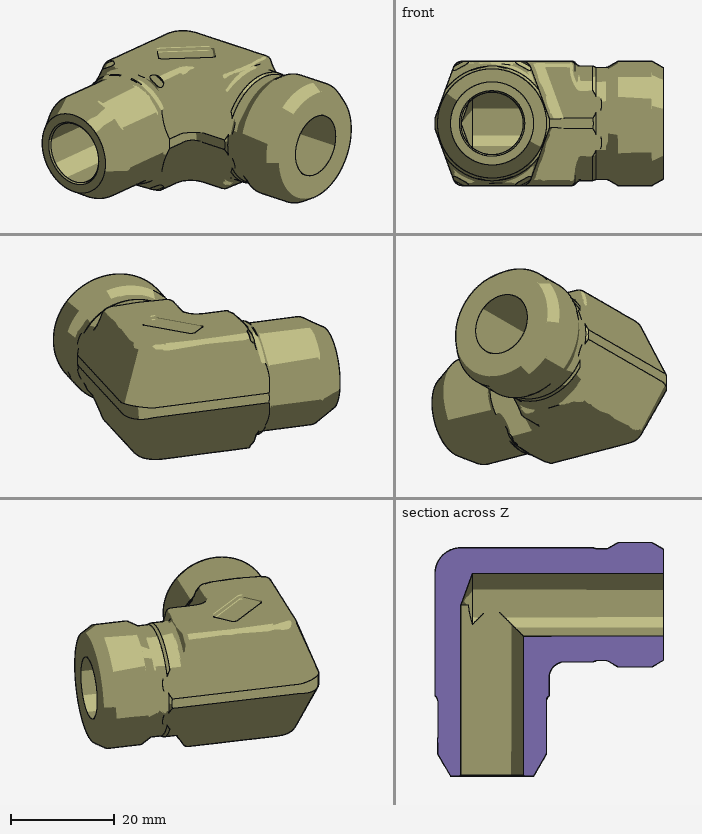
import cadquery as cq
import math

body_half_height = 12.0
ridge_half_width = 11.0
ridge_half_height = 1.0
draft_angle = 20.0
outer_corner_radius = 5.0
inner_corner_radius = 3.0
top_edge_radius = 2.0
rough_leg_length = 40.0

step_position = 16.0
step_radius = 1.0
collar_radius = 11.05
trim_radius = 20.0

x_end = 33.0
x_leg_end = 20.5
x_collar_end = 19.35
neck_start = 20.0
neck_radius = 10.8
neck_fillet = 0.8
head_radius = 12.0
head_start = 24.25
head_end = 30.75
head_edge_radius = 0.2
scallop_radius = 1.5

pipe_end = 33.0
pipe_radius = 10.5
pipe_face_radius = 8.0
pipe_edge_radius = 1.0
y_collar_end = 17.5
collar_edge_radius = 0.35
pipe_root_radius = 1.0
corner_bevel_start = 14.95
corner_bevel_end = 16.4
corner_bevel_radius = 13.15
corner_bevel_angle = 37.5

end_taper_angle = 30.0

bore_radius = 6.0
bore_chamfer = 0.3
drill_tip_angle = 140.0
x_bore_overrun = 5.95

panel_center = (2.65, -2.65)
panel_angle = 45.0
panel_length = 11.65
panel_width = 5.75
panel_corner_radius = 1.2
panel_depth = 0.8
panel_edge_radius = 0.38

draft_slope = math.tan(math.radians(draft_angle))
top_half_width = ridge_half_width - (body_half_height - ridge_half_height) * draft_slope
bottom_half_width = ridge_half_width + (body_half_height + ridge_half_height) * draft_slope
end_taper = math.tan(math.radians(end_taper_angle))
pipe_start = y_collar_end + collar_radius - pipe_radius
bevel_slope = math.sqrt(0.5)
collar_edge_tangent = collar_edge_radius * math.tan(math.radians(22.5))
pipe_root_tangent = pipe_root_radius * math.tan(math.radians(22.5))
y_leg_end = pipe_start + pipe_root_tangent
drill_tip_length = bore_radius / math.tan(math.radians(drill_tip_angle / 2))


def y_leg_to_x(shape):
    """Turn a shape about Z so that its -Y leg points along +X."""
    return shape.rotate((0, 0, 0), (0, 0, 1), 90)


def x_leg_to_y(shape):
    """Turn a shape about Z so that its +X leg points along -Y."""
    return shape.rotate((0, 0, 0), (0, 0, 1), -90)


def revolve_about_x(profile):
    return profile.close().revolve(360, (0, 0, 0), (1, 0, 0))


def plane_edges(shape, position):
    """Edges lying in the plane X = position."""
    gap = 0.01
    far = 2 * rough_leg_length
    slab = cq.selectors.BoxSelector((position - gap, -far, -far), (position + gap, far, far), True)
    return shape.edges(slab)


def elbow_outline(half_width):
    """Corner points of the L-shaped section with legs of the given half width."""
    return [
        (-half_width, half_width),
        (rough_leg_length, half_width),
        (rough_leg_length, -half_width),
        (half_width, -half_width),
        (half_width, -rough_leg_length),
        (-half_width, -rough_leg_length),
    ]


def round_corners(elbow):
    """Round the outer and inner corner edges of an L-shaped block, upright or drafted."""
    half_reach = 2 * ridge_half_width
    for side, radius in ((-1, outer_corner_radius), (1, inner_corner_radius)):
        near, far = sorted((0, side * half_reach))
        box = cq.selectors.BoxSelector(
            (near, -far, -body_half_height), (far, -near, body_half_height)
        )
        elbow = elbow.edges(box).edges("not #Z").fillet(radius)
    return elbow


def upright_elbow():
    """L-shaped block with vertical walls that form the ridges."""
    block = (
        cq.Workplane("XY").polyline(elbow_outline(ridge_half_width)).close()
        .extrude(body_half_height, both=True)
    )
    return round_corners(block)


def drafted_elbow():
    """L-shaped block whose walls lean inward towards a rounded top edge."""
    block = (
        cq.Workplane("XY").workplane(offset=-body_half_height)
        .polyline(elbow_outline(bottom_half_width)).close()
        .workplane(offset=2 * body_half_height)
        .polyline(elbow_outline(top_half_width)).close()
        .loft(ruled=True)
    )
    return round_corners(block).faces(">Z").edges("not(>X or <Y)").fillet(top_edge_radius)


def elbow_body():
    """Elbow with drafted flanks above and below its ridges, cut to the length of both legs."""
    flanks = drafted_elbow()
    leg_limits = cq.Workplane("XY").box(
        ridge_half_width + x_leg_end, ridge_half_width + y_leg_end, 2 * body_half_height
    ).translate(((x_leg_end - ridge_half_width) / 2, (ridge_half_width - y_leg_end) / 2, 0))
    return upright_elbow().intersect(flanks).intersect(flanks.mirror("XY")).intersect(leg_limits)


def collar_trim():
    """Material turned away outside the collar, with a filleted step wall on the body side."""
    return revolve_about_x(
        cq.Workplane("XY").moveTo(step_position, trim_radius)
        .lineTo(step_position, collar_radius + step_radius)
        .radiusArc((step_position + step_radius, collar_radius), -step_radius)
        .lineTo(rough_leg_length, collar_radius)
        .lineTo(rough_leg_length, trim_radius)
    )


def x_collar_end_trim():
    """Shallow cone from the collar of the +X leg down to its neck."""
    beyond = x_leg_end + 1
    return revolve_about_x(
        cq.Workplane("XY").moveTo(x_collar_end, trim_radius)
        .lineTo(x_collar_end, collar_radius)
        .lineTo(neck_start, neck_radius)
        .lineTo(beyond, neck_radius)
        .lineTo(beyond, trim_radius)
    )


def y_collar_end_trim():
    """Rounded 45 degree bevel from the collar of the -Y leg to the pipe, built along +X."""
    beyond = y_leg_end + 1
    edge_drop = collar_edge_tangent * bevel_slope
    root_rise = pipe_root_tangent * bevel_slope
    edge_start = y_collar_end - collar_edge_tangent
    return revolve_about_x(
        cq.Workplane("XY").moveTo(edge_start, trim_radius)
        .lineTo(edge_start, collar_radius)
        .radiusArc((y_collar_end + edge_drop, collar_radius - edge_drop), collar_edge_radius)
        .lineTo(pipe_start - root_rise, pipe_radius + root_rise)
        .radiusArc((y_leg_end, pipe_radius), -pipe_root_radius)
        .lineTo(beyond, pipe_radius)
        .lineTo(beyond, trim_radius)
    )


def y_corner_bevel():
    """Conical ring that skims the four outermost corners of the -Y leg, built along +X."""
    drop = (corner_bevel_end - corner_bevel_start) * math.tan(math.radians(corner_bevel_angle))
    return revolve_about_x(
        cq.Workplane("XY").moveTo(corner_bevel_start, trim_radius)
        .lineTo(corner_bevel_start, corner_bevel_radius)
        .lineTo(corner_bevel_end, corner_bevel_radius - drop)
        .lineTo(corner_bevel_end, trim_radius)
    )


def turn_leg(body, collar_end_trim):
    """Turn the leg along +X: collar, rounded step wall, then the far end of the collar."""
    body = body.cut(collar_trim())
    for end_face in (">Z", "<Z"):
        wall_edges = plane_edges(body.faces(end_face), step_position).edges("%LINE")
        body = wall_edges.fillet(step_radius)
    return body.cut(collar_end_trim)


def threaded_end():
    """Turned head on the +X leg, with scallops where the forged flanks run out."""
    end_radius = head_radius - (x_end - head_end) * end_taper
    neck_end = head_start - (head_radius - neck_radius) / end_taper
    head = revolve_about_x(
        cq.Workplane("XY").moveTo(x_leg_end, 0)
        .lineTo(x_leg_end, neck_radius)
        .lineTo(neck_end, neck_radius)
        .lineTo(head_start, head_radius)
        .lineTo(head_end, head_radius)
        .lineTo(x_end, end_radius)
        .lineTo(x_end, 0)
    )
    head = plane_edges(head, neck_end).fillet(neck_fillet)
    for position in (head_start, head_end, x_end):
        head = plane_edges(head, position).edges("%CIRCLE").fillet(head_edge_radius)

    draft = math.radians(draft_angle)
    flank_distance = ridge_half_width * math.cos(draft) + ridge_half_height * math.sin(draft)
    cutter = (
        cq.Workplane("XZ", origin=(x_leg_end, 0, 0))
        .center(0, flank_distance + scallop_radius)
        .circle(scallop_radius)
        .extrude(body_half_height / 2, both=True)
    )
    for angle in (90 - draft_angle, 90 + draft_angle, 270 - draft_angle, 270 + draft_angle):
        head = head.cut(cutter.rotate((0, 0, 0), (1, 0, 0), angle))
    return head


def pipe_stub():
    """Plain cylinder with a conical tip on the -Y leg, built along +X."""
    tip_start = pipe_end - (pipe_radius - pipe_face_radius) / end_taper
    stub = revolve_about_x(
        cq.Workplane("XY").moveTo(y_leg_end, 0)
        .lineTo(y_leg_end, pipe_radius)
        .lineTo(tip_start, pipe_radius)
        .lineTo(pipe_end, pipe_face_radius)
        .lineTo(pipe_end, 0)
    )
    return plane_edges(stub, tip_start).fillet(pipe_edge_radius)


def x_bore():
    """Drilled bore along X whose conical tip nearly reaches the far wall of the Y bore."""
    tip = -x_bore_overrun
    return revolve_about_x(
        cq.Workplane("XY").moveTo(tip, 0)
        .lineTo(tip + drill_tip_length, bore_radius)
        .lineTo(x_end, bore_radius)
        .lineTo(x_end, 0)
    )


def y_bore():
    """Bore of the -Y leg, ending at the X axis, with a chamfered mouth; built along +X."""
    return revolve_about_x(
        cq.Workplane("XY")
        .lineTo(0, bore_radius)
        .lineTo(pipe_end - bore_chamfer, bore_radius)
        .lineTo(pipe_end, bore_radius + bore_chamfer)
        .lineTo(pipe_end, 0)
    )


def cut_marking_panel(body):
    """Shallow diagonal recess in the top face with rounded rim and floor edges."""
    margin = 2 * panel_edge_radius
    pocket = (
        cq.Workplane("XY")
        .rect(panel_length - margin, panel_width - margin)
        .extrude(panel_depth)
        .edges("|Z").fillet(panel_corner_radius - panel_edge_radius)
        .faces("<Z").edges().fillet(panel_edge_radius)
        .rotate((0, 0, 0), (0, 0, 1), panel_angle)
        .translate((panel_center[0], panel_center[1], body_half_height - panel_depth))
    )
    body = body.cut(pocket)
    reach = panel_length / 2
    rim = cq.selectors.BoxSelector(
        (panel_center[0] - reach, panel_center[1] - reach, body_half_height - panel_edge_radius / 2),
        (panel_center[0] + reach, panel_center[1] + reach, body_half_height + panel_edge_radius / 2),
        True,
    )
    return body.edges(rim).fillet(panel_edge_radius)


body = turn_leg(elbow_body(), x_collar_end_trim())
body = turn_leg(y_leg_to_x(body), y_collar_end_trim())
body = x_leg_to_y(body.cut(y_corner_bevel()))
body = cut_marking_panel(body)
body = body.union(threaded_end()).union(x_leg_to_y(pipe_stub()))
bores = x_bore().union(x_leg_to_y(y_bore()))
result = body.cut(bores)